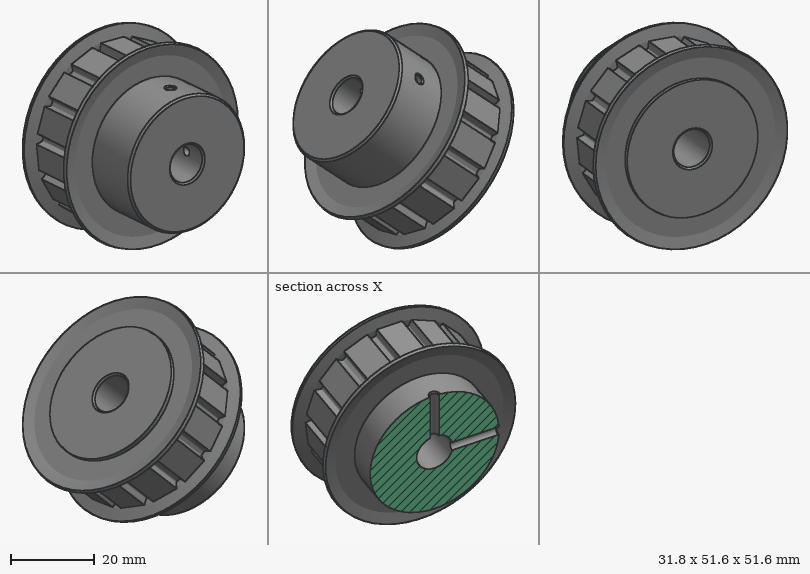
import cadquery as cq
import math

total_length = 31.75
flange_start = 0.45
flange_end = 17.95
hub_radius = 17.45
hub_chamfer = 0.5

flange_radius = 25.8
bend_radius = 22.65
rim_lean = 0.65
sheet_thickness = 1.0
rim_drop = sheet_thickness * rim_lean / (flange_radius - bend_radius)

tooth_count = 15
tip_radius = 22.65
groove_depth = 1.8
groove_mouth_width = 2.65
groove_flank_angle = 20.0
groove_floor_fillet = 0.4

bore_radius = 4.8
bore_chamfer = 0.45
screw_x = 25.05
screw_hole_diameter = 2.25
screw_mouth_diameter = 3.0

pitch_angle = 360.0 / tooth_count
disc_start = flange_start + rim_lean
disc_end = flange_end - rim_lean
mid_plane = (flange_start + flange_end) / 2


def make_hub():
    """Full-length cylinder, chamfered at its far end."""
    hub = cq.Workplane("YZ").circle(hub_radius).extrude(total_length)
    return hub.faces(">X").chamfer(hub_chamfer)


def make_flange():
    """Dished flange of the X = 0 side, revolved about the X axis."""
    inner_face = disc_start + sheet_thickness
    outline = [
        (disc_start, 0),
        (disc_start, bend_radius),
        (flange_start, flange_radius - rim_drop),
        (flange_start + sheet_thickness, flange_radius),
        (inner_face, bend_radius),
        (inner_face, 0),
    ]
    return cq.Workplane("XY").polyline(outline).close().revolve(360, (0, 0, 0), (1, 0, 0))


def make_groove_cutter():
    """Trapezoidal bar pointing to +Z, with its floor corners rounded."""
    slope = math.tan(math.radians(groove_flank_angle))
    mouth_z = tip_radius * math.cos(math.asin(groove_mouth_width / 2 / tip_radius))
    floor_z = tip_radius - groove_depth
    half_mouth = groove_mouth_width / 2
    half_floor = half_mouth - (mouth_z - floor_z) * slope
    outline = [
        (-half_mouth, mouth_z),
        (-half_floor, floor_z),
        (half_floor, floor_z),
        (half_mouth, mouth_z),
    ]
    bar = cq.Workplane("YZ", origin=(disc_start, 0, 0)).polyline(outline).close()
    bar = bar.extrude(disc_end - disc_start)
    return bar.edges("|X").edges("<Z").fillet(groove_floor_fillet)


def make_toothed_rim():
    """Polygonal rim with flat tooth tops and trapezoidal grooves, one tooth centred on +Z."""
    half_mouth_angle = math.degrees(math.asin(groove_mouth_width / 2 / tip_radius))
    corners = []
    for tooth in range(tooth_count):
        groove_angle = 90 + (tooth + 0.5) * pitch_angle
        for side in (-1, 1):
            angle = math.radians(groove_angle + side * half_mouth_angle)
            corners.append((tip_radius * math.cos(angle), tip_radius * math.sin(angle)))
    length = disc_end - disc_start
    rim = cq.Workplane("YZ", origin=(disc_start, 0, 0)).polyline(corners).close().extrude(length)
    groove = make_groove_cutter()
    for tooth in range(tooth_count):
        rim = rim.cut(groove.rotate((0, 0, 0), (1, 0, 0), (tooth + 0.5) * pitch_angle))
    return rim


def make_bore_cutter():
    """Through bore, chamfered at both ends."""
    mouth_radius = bore_radius + bore_chamfer
    outline = [
        (0, 0),
        (0, mouth_radius),
        (bore_chamfer, bore_radius),
        (total_length - bore_chamfer, bore_radius),
        (total_length, mouth_radius),
        (total_length, 0),
    ]
    return cq.Workplane("XY").polyline(outline).close().revolve(360, (0, 0, 0), (1, 0, 0))


def make_screw_cutter():
    """Radial hole along +Z from the bore to the hub surface, countersunk at its mouth."""
    hole_radius = screw_hole_diameter / 2
    mouth_radius = screw_mouth_diameter / 2
    outline = [
        (0, 0),
        (hole_radius, 0),
        (hole_radius, hub_radius - (mouth_radius - hole_radius)),
        (mouth_radius, hub_radius),
        (0, hub_radius),
    ]
    cutter = cq.Workplane("XZ").polyline(outline).close().revolve(360, (0, 0, 0), (0, 1, 0))
    return cutter.translate((screw_x, 0, 0))


first_flange = make_flange()
second_flange = first_flange.mirror("YZ", (mid_plane, 0, 0))
body = make_hub().union(make_toothed_rim()).union(first_flange).union(second_flange)
body = body.cut(make_bore_cutter())

screw_cutter = make_screw_cutter()
for turn in (0, -90):
    body = body.cut(screw_cutter.rotate((0, 0, 0), (1, 0, 0), turn))

result = body